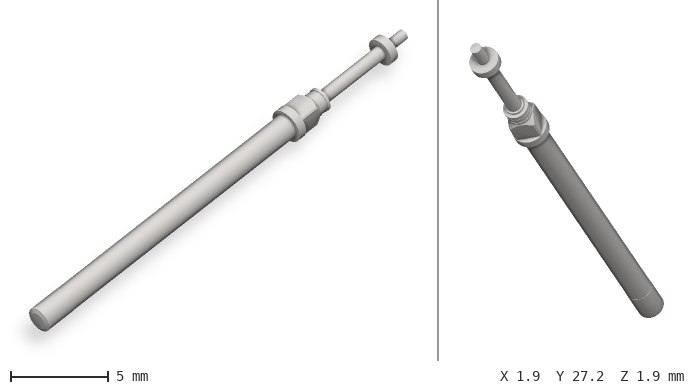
import cadquery as cq

TOTAL_LENGTH = 27.2

BARREL_DIAMETER = 1.4
PLUG_DIAMETER = 1.41
PLUG_LENGTH = 2.0
END_BEVEL_LENGTH = 0.1
END_FACE_DIAMETER = 0.98

FLANGE_DIAMETER = 1.9
FLANGE_THICKNESS = 0.5
FLANGE_FRONT = 18.95
FLANGE_REAR = FLANGE_FRONT - FLANGE_THICKNESS

SQUARE_SIZE = BARREL_DIAMETER
SQUARE_CORNER_DIAMETER = 1.85
SQUARE_FRONT = 20.32
SQUARE_BEVEL = 0.27

SHOULDER_DIAMETER = 1.33
SHOULDER_FRONT = 20.48
NECK_DIAMETER = 1.28
NECK_FRONT = 20.73
GROOVE_DIAMETER = 1.25
GROOVE_FRONT = 20.9
RING_DIAMETER = 1.35
RING_FRONT = 21.05

BUSHING_DIAMETER = 0.98
BUSHING_FRONT = 21.2
SHAFT_DIAMETER = 0.75
COLLAR_DIAMETER = 1.58
COLLAR_THICKNESS = 0.5
COLLAR_FRONT = 25.95
COLLAR_REAR = COLLAR_FRONT - COLLAR_THICKNESS
TIP_DIAMETER = 0.6


def cylinder(diameter, rear, front):
    """Solid round section on the Y axis between two Y positions."""
    return cq.Workplane("XZ", origin=(0, rear, 0)).circle(diameter / 2).extrude(rear - front)


def make_plug():
    """Rear plug with a shallow conical bevel around its end face."""
    radius = PLUG_DIAMETER / 2
    return (
        cq.Workplane("XY")
        .moveTo(0, 0)
        .lineTo(END_FACE_DIAMETER / 2, 0)
        .lineTo(radius, END_BEVEL_LENGTH)
        .lineTo(radius, PLUG_LENGTH)
        .lineTo(0, PLUG_LENGTH)
        .close()
        .revolve(360, (0, 0, 0), (0, 1, 0))
    )


def make_square():
    """Round section bevelled at the front and trimmed by four flats."""
    length = SQUARE_FRONT - FLANGE_FRONT
    middle = (SQUARE_FRONT + FLANGE_FRONT) / 2
    round_section = cylinder(SQUARE_CORNER_DIAMETER, FLANGE_FRONT, SQUARE_FRONT)
    bevelled = round_section.faces(">Y").chamfer(SQUARE_BEVEL)
    flats = cq.Workplane("XY", origin=(0, middle, 0)).box(SQUARE_SIZE, length, SQUARE_SIZE)
    return bevelled.intersect(flats)


def make_neck():
    shoulder = cylinder(SHOULDER_DIAMETER, SQUARE_FRONT, SHOULDER_FRONT)
    neck = cylinder(NECK_DIAMETER, SHOULDER_FRONT, NECK_FRONT)
    groove = cylinder(GROOVE_DIAMETER, NECK_FRONT, GROOVE_FRONT)
    ring = cylinder(RING_DIAMETER, GROOVE_FRONT, RING_FRONT)
    return shoulder.union(neck).union(groove).union(ring)


def make_plunger():
    bushing = cylinder(BUSHING_DIAMETER, RING_FRONT, BUSHING_FRONT)
    shaft = cylinder(SHAFT_DIAMETER, BUSHING_FRONT, COLLAR_REAR)
    collar = cylinder(COLLAR_DIAMETER, COLLAR_REAR, COLLAR_FRONT)
    tip = cylinder(TIP_DIAMETER, COLLAR_FRONT, TOTAL_LENGTH)
    return bushing.union(shaft).union(collar).union(tip)


result = (
    make_plug()
    .union(cylinder(BARREL_DIAMETER, PLUG_LENGTH, FLANGE_REAR))
    .union(cylinder(FLANGE_DIAMETER, FLANGE_REAR, FLANGE_FRONT))
    .union(make_square())
    .union(make_neck())
    .union(make_plunger())
)